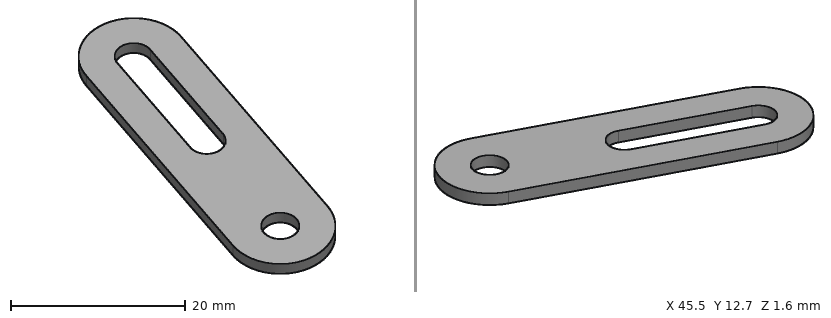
import cadquery as cq

length = 45.5
width = 12.7
thickness = 1.6

hole_diameter = 4.35
slot_width = 4.35
slot_length = 20.7

end_center_x = (length - width) / 2
slot_center_x = -end_center_x + (slot_length - slot_width) / 2

plate = cq.Workplane("XY").slot2D(length, width).extrude(thickness)

slot = (
    cq.Workplane("XY")
    .center(slot_center_x, 0)
    .slot2D(slot_length, slot_width)
    .extrude(thickness)
)

hole = (
    cq.Workplane("XY")
    .center(end_center_x, 0)
    .circle(hole_diameter / 2)
    .extrude(thickness)
)

result = plate.cut(slot).cut(hole)